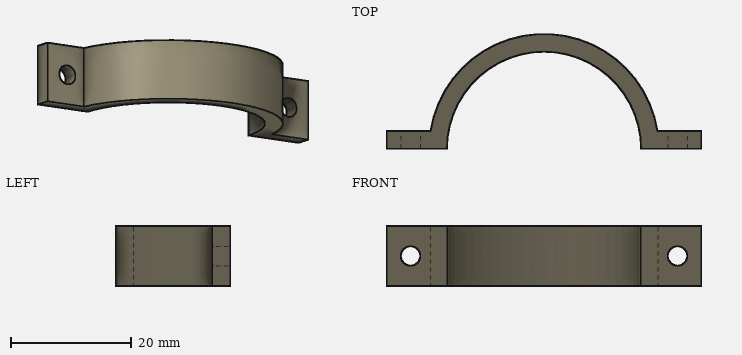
import cadquery as cq

overall_length = 52.4
outer_radius = 19.1
wall = 3.0
inner_radius = outer_radius - wall
width = 10.0
hole_diameter = 3.2
hole_edge_distance = 4.0
hole_x = overall_length / 2 - hole_edge_distance


def half_disc(radius):
    """Half cylinder on the +Y side of the ring axis."""
    return (
        cq.Workplane("XY")
        .moveTo(-radius, 0)
        .threePointArc((0, radius), (radius, 0))
        .close()
        .extrude(width / 2, both=True)
    )


strip = cq.Workplane("XY").box(overall_length, wall, width).translate((0, wall / 2, 0))
body = strip.union(half_disc(outer_radius))

clamp = body.cut(half_disc(inner_radius))

screw_holes = (
    cq.Workplane("XZ")
    .pushPoints([(-hole_x, 0), (hole_x, 0)])
    .circle(hole_diameter / 2)
    .extrude(-wall)
)

result = clamp.cut(screw_holes)